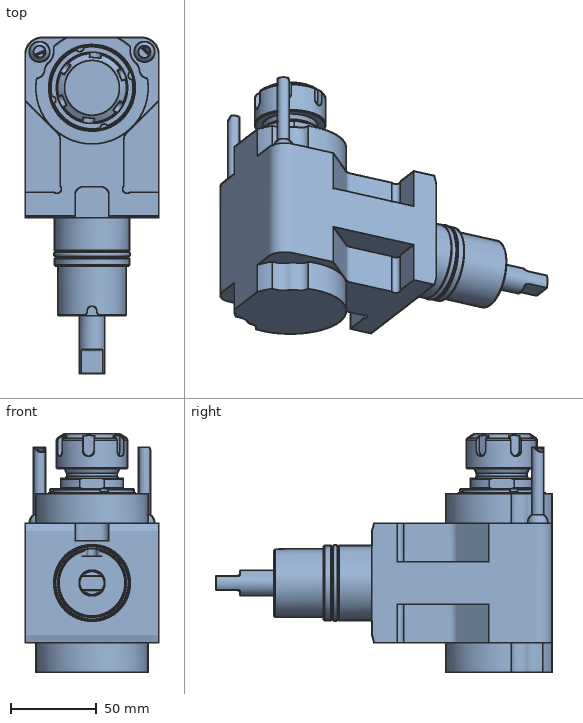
import cadquery as cq
import math


clearance = 2.0
edge_tolerance = 0.2

block_width = 78.0
block_height = 69.8
back_y = 29.4
front_y = -75.7
block_corner_radius = 10.2
front_chamfer_depth = 1.2
front_chamfer_height = 4.7
block_top = block_height / 2

pocket_start_y = -7.5
pocket_end_y = -60.8
pocket_wall_x = 18.6
pocket_floor_z = 12.3
pocket_bend_radius = 4.9
pocket_relief_radius = 2.5

slot_width = 19.8
slot_end_y = -57.6
slot_depth = 10.2
slot_corner_radius = 4.9

pipe_x = 30.5
pipe_y = 21.0
pipe_diameter = 7.0
pipe_top = 79.2
pipe_ball_diameter = 12.0
pipe_bevel_offset = 0.4
pipe_bore_diameter = 4.0
pipe_bore_depth = 3.0
pipe_aim_angles = {-1: -67.0, 1: 45.0}

boss_diameter = 65.5
boss_height = 17.2
boss_top = block_top + boss_height
relief_radius = 8.2
relief_sweep = 50.0
relief_neck_x = 27.6
relief_neck_y = 10.2
relief_end_x = 32.5
relief_end_y = 5.5

collar_diameter = 49.0
collar_foot_diameter = 50.5
collar_foot_height = 0.5
collar_height = 2.7
collar_chamfer = 0.5
collar_notch_count = 4
collar_notch_angle = 17.0
collar_notch_diameter = 4.7
collar_notch_depth = 1.8
collar_top = boss_top + collar_height

flange_diameter = 39.2
flange_flat_distance = 18.2
flange_height = 6.0
flange_chamfer = 0.5
flange_top = collar_top + flange_height
neck_diameter = 29.5
neck_foot_chamfer = 0.5
neck_foot_height = 1.2
neck_straight_top = 63.9
neck_head_diameter = 32.1
nut_bottom = 66.6
nut_top = 87.0
nut_diameter = 41.5
nut_bottom_chamfer = 0.5
nut_rim_z = 83.3
nut_shoulder_z = 84.5
nut_shoulder_diameter = 40.0
nut_face_diameter = 32.0
nut_slot_count = 6
nut_slot_angle = 24.0
nut_slot_width = 6.7
nut_slot_bottom = 73.9
nut_slot_floor_radius = 17.6

shank_diameter = 44.0
shank_shoulder_y = -103.9
shank_shoulder_chamfer = 0.8
shank_nose_diameter = 40.0
shank_end_y = -132.9
shank_end_chamfer = 0.8

groove_diameter = 39.5
groove_start_y = -95.0
groove_end_y = -99.2
groove_edge_chamfer = 0.4
seal_thickness = 2.5
seal_y = -97.0

key_slot_width = 5.5
key_slot_arc_y = -130.0
key_slot_floor_z = 15.5

shaft_diameter = 15.0
shaft_end_y = -166.6
tang_start_y = -152.7
tang_thickness = 8.6
tang_fillet = 1.2
tang_chamfer = 0.4


def make_block():
    """Block with rounded back corners and chamfered front edges."""
    length = back_y - front_y
    block = cq.Workplane("XY").box(block_width, length, block_height)
    block = block.translate((0, (back_y + front_y) / 2, 0))
    block = block.edges("|Z and >Y").fillet(block_corner_radius)
    front_z = block_top - front_chamfer_height
    bevel_y = front_y + front_chamfer_depth
    edge_wedge = (
        cq.Workplane("YZ")
        .polyline([(front_y, front_z), (front_y, block_top), (bevel_y, block_top)])
        .close()
        .extrude(block_width / 2, both=True)
    )
    return block.cut(edge_wedge).cut(edge_wedge.mirror("XY"))


def make_side_pocket():
    """Pocket in the upper +X side, with a relief in its sharp corner."""
    side_x = block_width / 2
    bend_y = pocket_start_y - (side_x - pocket_wall_x)
    depth = block_top - pocket_floor_z
    pocket = (
        cq.Workplane("XY", origin=(0, 0, pocket_floor_z))
        .moveTo(side_x, pocket_start_y)
        .lineTo(pocket_wall_x, bend_y)
        .lineTo(pocket_wall_x, pocket_end_y)
        .lineTo(side_x, pocket_end_y)
        .close()
        .extrude(depth)
    )
    bend_edge = cq.selectors.NearestToPointSelector((pocket_wall_x, bend_y, pocket_floor_z + depth / 2))
    pocket = pocket.edges(bend_edge).fillet(pocket_bend_radius)
    relief_shift = pocket_relief_radius / math.sqrt(2)
    relief = (
        cq.Workplane("XY", origin=(0, 0, pocket_floor_z))
        .center(pocket_wall_x + relief_shift, pocket_end_y + relief_shift)
        .circle(pocket_relief_radius)
        .extrude(depth)
    )
    return pocket.union(relief)


def make_locating_slot():
    """Slot cutter that opens to the front and the top of the block."""
    length = slot_end_y - front_y
    slot = (
        cq.Workplane("XY", origin=(0, (slot_end_y + front_y) / 2, block_top - slot_depth))
        .rect(slot_width, length)
        .extrude(slot_depth)
    )
    return slot.edges("|Z and >Y").fillet(slot_corner_radius)


def make_bosses():
    """Boss running through the block, flush with its back and relieved around both pipes."""
    boss = cq.Workplane("XY").circle(boss_diameter / 2).extrude(boss_top, both=True)
    behind = cq.Workplane("XY").box(boss_diameter, boss_diameter, 2 * boss_top)
    boss = boss.cut(behind.translate((0, back_y + boss_diameter / 2, 0)))

    arc_angle = math.radians(180 + relief_sweep)
    middle_angle = math.radians(180 + relief_sweep / 2)
    arc_end = (
        pipe_x + relief_radius * math.cos(arc_angle),
        pipe_y + relief_radius * math.sin(arc_angle),
    )
    arc_middle = (
        pipe_x + relief_radius * math.cos(middle_angle),
        pipe_y + relief_radius * math.sin(middle_angle),
    )
    inner_x = pipe_x - relief_radius
    outer_x = boss_diameter / 2 + clearance
    outer_y = back_y + clearance
    relief = (
        cq.Workplane("XY")
        .moveTo(inner_x, outer_y)
        .lineTo(inner_x, pipe_y)
        .threePointArc(arc_middle, arc_end)
        .tangentArcPoint((relief_neck_x, relief_neck_y), relative=False)
        .tangentArcPoint((relief_end_x, relief_end_y), relative=False)
        .lineTo(outer_x, relief_end_y)
        .lineTo(outer_x, outer_y)
        .close()
        .extrude(boss_top, both=True)
    )
    return boss.cut(relief).cut(relief.mirror("YZ"))


def make_pipe(side):
    """Coolant pipe on a ball foot; its tip is bevelled at 45 degrees with the bore in the bevel."""
    radius = pipe_diameter / 2
    ball = cq.Workplane("XY").sphere(pipe_ball_diameter / 2).translate((0, 0, block_top))
    pipe = cq.Workplane("XY", origin=(0, 0, block_top)).circle(radius).extrude(pipe_top - block_top)
    drop = pipe_diameter
    bevel = (
        cq.Workplane("XZ")
        .polyline(
            [
                (pipe_bevel_offset, pipe_top),
                (pipe_bevel_offset + drop, pipe_top),
                (pipe_bevel_offset + drop, pipe_top - drop),
            ]
        )
        .close()
        .extrude(radius, both=True)
    )
    bore_x = (pipe_bevel_offset + radius) / 2
    bore_z = pipe_top - (bore_x - pipe_bevel_offset)
    bore_plane = cq.Plane(origin=(bore_x, 0, bore_z), xDir=(0, 1, 0), normal=(1, 0, 1))
    bore = cq.Workplane(bore_plane).circle(pipe_bore_diameter / 2).extrude(-pipe_bore_depth)
    pipe = pipe.cut(bevel).cut(bore).union(ball)
    pipe = pipe.rotate((0, 0, 0), (0, 0, 1), pipe_aim_angles[side])
    return pipe.translate((side * pipe_x, pipe_y, 0))


def make_collar():
    """Notched collar around the spindle, resting on the upper boss."""
    foot = (
        cq.Workplane("XY", origin=(0, 0, boss_top))
        .circle(collar_foot_diameter / 2)
        .extrude(collar_foot_height)
    )
    collar = cq.Workplane("XY", origin=(0, 0, boss_top)).circle(collar_diameter / 2).extrude(collar_height)
    collar = collar.faces(">Z").edges().chamfer(collar_chamfer).union(foot)
    notches = (
        cq.Workplane("XY", origin=(0, 0, collar_top - collar_notch_depth))
        .polarArray(collar_diameter / 2, collar_notch_angle, 360, collar_notch_count)
        .circle(collar_notch_diameter / 2)
        .extrude(collar_notch_depth)
    )
    return collar.cut(notches)


def make_wrench_flange():
    """Round flange with four wrench flats."""
    flange = (
        cq.Workplane("XY", origin=(0, 0, collar_top))
        .circle(flange_diameter / 2)
        .extrude(flange_height)
        .edges()
        .chamfer(flange_chamfer)
    )
    flats = (
        cq.Workplane("XY", origin=(0, 0, collar_top))
        .rect(2 * flange_flat_distance, 2 * flange_flat_distance)
        .extrude(flange_height)
    )
    return flange.intersect(flats)


def make_neck_and_nut():
    """Turned neck and clamping nut, with round-bottomed spanner slots around the nut."""
    neck_radius = neck_diameter / 2
    nut_radius = nut_diameter / 2
    turned = (
        cq.Workplane("XZ")
        .polyline(
            [
                (0, flange_top),
                (neck_radius + neck_foot_chamfer, flange_top),
                (neck_radius, flange_top + neck_foot_height),
                (neck_radius, neck_straight_top),
                (neck_head_diameter / 2, nut_bottom),
                (nut_radius - nut_bottom_chamfer, nut_bottom),
                (nut_radius, nut_bottom + nut_bottom_chamfer),
                (nut_radius, nut_rim_z),
                (nut_shoulder_diameter / 2, nut_shoulder_z),
                (nut_face_diameter / 2, nut_top),
                (0, nut_top),
            ]
        )
        .close()
        .revolve(360, (0, 0, 0), (0, 1, 0))
    )
    arc_z = nut_slot_bottom + nut_slot_width / 2
    slot = (
        cq.Workplane("YZ", origin=(nut_slot_floor_radius, 0, 0))
        .moveTo(-nut_slot_width / 2, nut_top)
        .lineTo(-nut_slot_width / 2, arc_z)
        .threePointArc((0, nut_slot_bottom), (nut_slot_width / 2, arc_z))
        .lineTo(nut_slot_width / 2, nut_top)
        .close()
        .extrude(nut_radius - nut_slot_floor_radius + clearance)
    )
    for index in range(nut_slot_count):
        angle = nut_slot_angle + index * 360 / nut_slot_count
        turned = turned.cut(slot.rotate((0, 0, 0), (0, 0, 1), angle))
    return turned


def make_shank():
    """Stepped shank with the seal groove turned into it."""
    radius = shank_diameter / 2
    groove_radius = groove_diameter / 2
    lip_radius = radius - groove_edge_chamfer
    nose_radius = shank_nose_diameter / 2
    return (
        cq.Workplane("XY")
        .polyline(
            [
                (0, front_y),
                (radius, front_y),
                (radius, groove_start_y + groove_edge_chamfer),
                (lip_radius, groove_start_y),
                (groove_radius, groove_start_y),
                (groove_radius, groove_end_y),
                (lip_radius, groove_end_y),
                (radius, groove_end_y - groove_edge_chamfer),
                (radius, shank_shoulder_y + shank_shoulder_chamfer),
                (radius - shank_shoulder_chamfer, shank_shoulder_y),
                (nose_radius, shank_shoulder_y),
                (nose_radius, shank_end_y + shank_end_chamfer),
                (nose_radius - shank_end_chamfer, shank_end_y),
                (0, shank_end_y),
            ]
        )
        .close()
        .revolve(360, (0, 0, 0), (0, 1, 0))
    )


def make_key_slot():
    """Key slot cutter with a round inner end and a mouth rounded out to the end face."""
    half_width = key_slot_width / 2
    mouth_radius = key_slot_arc_y - shank_end_y
    mouth_half = half_width + mouth_radius
    bulge = mouth_radius * (1 - math.sqrt(0.5))
    return (
        cq.Workplane("XY", origin=(0, 0, key_slot_floor_z))
        .moveTo(-mouth_half, shank_end_y)
        .threePointArc((-half_width - bulge, shank_end_y + bulge), (-half_width, key_slot_arc_y))
        .threePointArc((0, key_slot_arc_y + half_width), (half_width, key_slot_arc_y))
        .threePointArc((half_width + bulge, shank_end_y + bulge), (mouth_half, shank_end_y))
        .close()
        .extrude(shank_diameter / 2 - key_slot_floor_z)
    )


def make_drive_shaft():
    """Drive shaft ending in a flat tang with chamfered edges."""
    radius = shaft_diameter / 2
    half_tang = tang_thickness / 2
    shaft = cq.Workplane("XZ", origin=(0, shank_end_y, 0)).circle(radius).extrude(shank_end_y - shaft_end_y)
    flat_length = tang_start_y - shaft_end_y
    flat = (
        cq.Workplane("XY", origin=(0, shaft_end_y + flat_length / 2, half_tang))
        .rect(shaft_diameter, flat_length)
        .extrude(radius)
        .edges("<Z and >Y")
        .fillet(tang_fillet)
    )
    shaft = shaft.cut(flat).cut(flat.mirror("XY"))
    tang_edges = cq.selectors.BoxSelector(
        (-radius, shaft_end_y - clearance, -half_tang - edge_tolerance),
        (radius, tang_start_y - tang_fillet, half_tang + edge_tolerance),
    )
    side_edges = cq.selectors.ParallelDirSelector(cq.Vector(0, 1, 0))
    end_edges = cq.selectors.DirectionMinMaxSelector(cq.Vector(0, 1, 0), directionMax=False)
    shaft = shaft.edges(tang_edges).edges(side_edges + end_edges).chamfer(tang_chamfer)
    shoulder_edges = cq.selectors.BoxSelector(
        (-radius, tang_start_y - edge_tolerance, -radius - edge_tolerance),
        (radius, tang_start_y + edge_tolerance, radius + edge_tolerance),
    )
    return shaft.edges(shoulder_edges).edges("%CIRCLE").chamfer(tang_chamfer)


def make_holder():
    """Complete tool holder as one solid."""
    pocket = make_side_pocket()
    block = make_block()
    for upper in (pocket, pocket.mirror("YZ")):
        block = block.cut(upper).cut(upper.mirror("XY"))
    holder = block.cut(make_locating_slot()).union(make_bosses())
    for side in (-1, 1):
        holder = holder.union(make_pipe(side))
    for spindle_part in (make_collar(), make_wrench_flange(), make_neck_and_nut()):
        holder = holder.union(spindle_part)
    shank = make_shank().cut(make_key_slot())
    return holder.union(shank).union(make_drive_shaft())


def make_seal_ring():
    """Round-section ring seated on the floor of the shank groove."""
    section_radius = seal_thickness / 2
    center_x = groove_diameter / 2 + section_radius
    return (
        cq.Workplane("XY")
        .moveTo(center_x, seal_y)
        .circle(section_radius)
        .revolve(360, (0, 0, 0), (0, 1, 0))
    )


holder = make_holder()
seal_ring = make_seal_ring()
result = cq.Compound.makeCompound([holder.solids().val(), seal_ring.solids().val()])